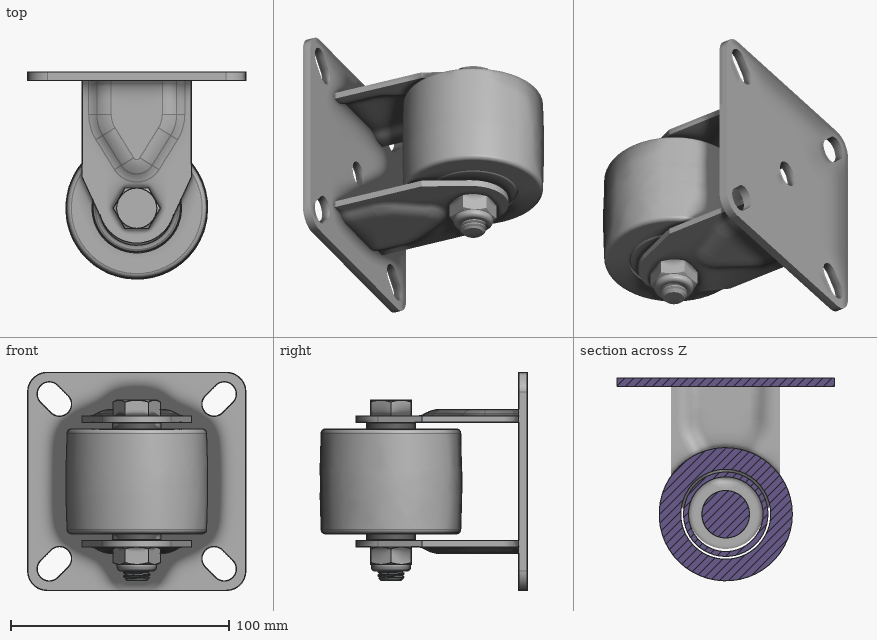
import cadquery as cq
import math


PLATE_SIZE = 100.0
PLATE_THICKNESS = 4.0
PLATE_CORNER_RADIUS = 9.0
PLATE_BACK_Y = 62.5
PLATE_FRONT_Y = PLATE_BACK_Y - PLATE_THICKNESS
PLATE_HOLE_DIAMETER = 12.0
SLOT_WIDTH = 11.0
SLOT_PITCH = 75.5
SLOT_TRAVEL = 6.6
SLOT_ANGLE = 45.0

LEG_INNER_Z = 27.0
LEG_THICKNESS = 3.0
LEG_OUTER_Z = LEG_INNER_Z + LEG_THICKNESS
LEG_HALF_WIDTH = 25.0
LEG_SHOULDER_Y = 14.2
LEG_TIP_RADIUS = 17.3
LEG_TIP_Y = -16.0

BULGE_HEIGHT = 3.0
BULGE_ROOT_RADIUS = 22.0
BULGE_ROOT_Y = 43.0
BULGE_NOSE_RADIUS = 12.0
BULGE_NOSE_Y = 24.0
BULGE_FOOT_WIDTH = 3.7
BULGE_CREST_WIDTH = 6.6
BULGE_WALL_WIDTH = BULGE_FOOT_WIDTH + BULGE_CREST_WIDTH

WHEEL_RADIUS = 32.5
WHEEL_EDGE_RADIUS = 32.0
WHEEL_HALF_WIDTH = 24.0
WHEEL_FILLET = 2.0
BEARING_RADIUS = 20.0
BEARING_FILLET = 1.0
BEARING_GAP = 0.5
BEARING_GAP_DEPTH = 1.5
SHIELD_RADIUS = 17.0
SHIELD_DEPTH = 0.2
SPACER_RADIUS = 11.2
SPACER_CHAMFER = 0.3

HEX_ACROSS_FLATS = 18.7
HEX_FACE_RADIUS = 9.2
HEX_BEVEL_ANGLE = 30.0
HEAD_TOP_Z = 37.3
NUT_BOTTOM_Z = -38.1
COLLAR_RADIUS = 9.0
COLLAR_HEIGHT = 3.0
COLLAR_FILLET = 1.9
BOLT_RADIUS = 6.0
BOLT_END_Z = -45.3
BOLT_END_CHAMFER = 1.4
THREAD_PITCH = 1.75
THREAD_DEPTH = 1.1
GROOVE_CUTTER_DEPTH = 1.3
GROOVE_CUTTER_WIDTH = 1.6


def cylinder(radius, z_low, z_high):
    return cq.Workplane("XY").workplane(offset=z_low).circle(radius).extrude(z_high - z_low)


def mounting_plate():
    plate = (
        cq.Workplane("XZ", origin=(0, PLATE_BACK_Y, 0))
        .rect(PLATE_SIZE, PLATE_SIZE)
        .extrude(PLATE_THICKNESS)
        .edges("|Y")
        .fillet(PLATE_CORNER_RADIUS)
        .faces("<Y")
        .workplane(origin=(0, PLATE_FRONT_Y, 0))
        .hole(PLATE_HOLE_DIAMETER)
    )
    for x_side in (-1, 1):
        for z_side in (-1, 1):
            slot = (
                cq.Workplane("XZ", origin=(0, PLATE_BACK_Y, 0))
                .center(x_side * SLOT_PITCH / 2, z_side * SLOT_PITCH / 2)
                .slot2D(SLOT_TRAVEL + SLOT_WIDTH, SLOT_WIDTH, SLOT_ANGLE * x_side * z_side)
                .extrude(PLATE_THICKNESS)
            )
            plate = plate.cut(slot)
    return plate


def leg_blank():
    """Flat upper leg: straight sides, tapering tangentially into a round tip."""
    centre_y = LEG_TIP_Y + LEG_TIP_RADIUS
    rise = LEG_SHOULDER_Y - centre_y
    reach = math.hypot(LEG_HALF_WIDTH, rise)
    tangent_angle = math.atan2(rise, LEG_HALF_WIDTH) - math.acos(LEG_TIP_RADIUS / reach)
    tangent_x = LEG_TIP_RADIUS * math.cos(tangent_angle)
    tangent_y = centre_y + LEG_TIP_RADIUS * math.sin(tangent_angle)
    return (
        cq.Workplane("XY", origin=(0, 0, LEG_INNER_Z))
        .moveTo(-LEG_HALF_WIDTH, PLATE_FRONT_Y)
        .lineTo(-LEG_HALF_WIDTH, LEG_SHOULDER_Y)
        .lineTo(-tangent_x, tangent_y)
        .threePointArc((0, LEG_TIP_Y), (tangent_x, tangent_y))
        .lineTo(LEG_HALF_WIDTH, LEG_SHOULDER_Y)
        .lineTo(LEG_HALF_WIDTH, PLATE_FRONT_Y)
        .close()
        .extrude(LEG_THICKNESS)
    )


def bulge_outline(inset, z):
    """Open outline of the bulge, moved inwards by inset, from one end at the plate to the other."""
    root_radius = BULGE_ROOT_RADIUS - inset
    nose_radius = BULGE_NOSE_RADIUS - inset
    flank = math.asin((BULGE_ROOT_RADIUS - BULGE_NOSE_RADIUS) / (BULGE_ROOT_Y - BULGE_NOSE_Y))

    def on_root(angle):
        return root_radius * math.cos(angle), BULGE_ROOT_Y - root_radius * math.sin(angle)

    root_mid_x, root_mid_y = on_root(flank / 2)
    root_end_x, root_end_y = on_root(flank)
    nose_x = nose_radius * math.cos(flank)
    nose_y = BULGE_NOSE_Y - nose_radius * math.sin(flank)
    return (
        cq.Workplane("XY", origin=(0, 0, z))
        .moveTo(-root_radius, PLATE_FRONT_Y)
        .lineTo(-root_radius, BULGE_ROOT_Y)
        .threePointArc((-root_mid_x, root_mid_y), (-root_end_x, root_end_y))
        .lineTo(-nose_x, nose_y)
        .threePointArc((0, BULGE_NOSE_Y - nose_radius), (nose_x, nose_y))
        .lineTo(root_end_x, root_end_y)
        .threePointArc((root_mid_x, root_mid_y), (root_radius, BULGE_ROOT_Y))
        .lineTo(root_radius, PLATE_FRONT_Y)
    )


def bulge_wall():
    """Sloping wall of the bulge: an S-shaped sheet section swept along the outline."""
    slope = 2 * math.atan(BULGE_HEIGHT / BULGE_WALL_WIDTH)
    foot_x = -BULGE_ROOT_RADIUS
    crest_x = foot_x + BULGE_WALL_WIDTH
    foot_centre_z = LEG_OUTER_Z + BULGE_FOOT_WIDTH / math.sin(slope)
    crest_top_z = LEG_OUTER_Z + BULGE_HEIGHT
    crest_centre_z = crest_top_z - BULGE_CREST_WIDTH / math.sin(slope)

    def on_foot(angle, depth):
        radius = foot_centre_z - LEG_OUTER_Z + depth
        return foot_x + radius * math.sin(angle), foot_centre_z - radius * math.cos(angle)

    def on_crest(angle, depth):
        radius = crest_top_z - crest_centre_z - depth
        return crest_x - radius * math.sin(angle), crest_centre_z + radius * math.cos(angle)

    section = (
        cq.Workplane("XZ", origin=(0, PLATE_FRONT_Y, 0))
        .moveTo(*on_foot(0, 0))
        .threePointArc(on_foot(slope / 2, 0), on_foot(slope, 0))
        .threePointArc(on_crest(slope / 2, 0), on_crest(0, 0))
        .lineTo(*on_crest(0, LEG_THICKNESS))
        .threePointArc(on_crest(slope / 2, LEG_THICKNESS), on_crest(slope, LEG_THICKNESS))
        .threePointArc(on_foot(slope / 2, LEG_THICKNESS), on_foot(0, LEG_THICKNESS))
        .close()
    )
    return section.sweep(bulge_outline(0, LEG_OUTER_Z))


def upper_leg():
    opening = bulge_outline(0, LEG_INNER_Z).close().extrude(LEG_THICKNESS)
    roof = bulge_outline(BULGE_WALL_WIDTH, LEG_INNER_Z + BULGE_HEIGHT).close().extrude(LEG_THICKNESS)
    return leg_blank().cut(opening).union(bulge_wall()).union(roof)


def wheel():
    """Solid of revolution: crowned tread with rounded rims and a bearing face on each side."""
    rim_z = WHEEL_HALF_WIDTH - WHEEL_FILLET
    tread = (
        cq.Workplane("XZ")
        .moveTo(0, -WHEEL_HALF_WIDTH)
        .lineTo(WHEEL_EDGE_RADIUS - WHEEL_FILLET, -WHEEL_HALF_WIDTH)
        .radiusArc((WHEEL_EDGE_RADIUS, -rim_z), -WHEEL_FILLET)
        .threePointArc((WHEEL_RADIUS, 0), (WHEEL_EDGE_RADIUS, rim_z))
        .radiusArc((WHEEL_EDGE_RADIUS - WHEEL_FILLET, WHEEL_HALF_WIDTH), -WHEEL_FILLET)
        .lineTo(0, WHEEL_HALF_WIDTH)
        .close()
        .revolve(360, (0, 0), (0, 1))
    )
    upper_details = bearing_recess()
    return tread.cut(upper_details).cut(upper_details.mirror("XY"))


def bearing_recess():
    """Material missing around the upper bearing: the gap beside it and the sunken shield."""
    gap_floor_z = WHEEL_HALF_WIDTH - BEARING_GAP_DEPTH
    gap = (
        cq.Workplane("XZ")
        .moveTo(BEARING_RADIUS - BEARING_FILLET, WHEEL_HALF_WIDTH)
        .radiusArc((BEARING_RADIUS, WHEEL_HALF_WIDTH - BEARING_FILLET), BEARING_FILLET)
        .lineTo(BEARING_RADIUS, gap_floor_z)
        .lineTo(BEARING_RADIUS + BEARING_GAP, gap_floor_z)
        .lineTo(BEARING_RADIUS + BEARING_GAP, WHEEL_HALF_WIDTH)
        .close()
        .revolve(360, (0, 0), (0, 1))
    )
    shield = cylinder(SHIELD_RADIUS, WHEEL_HALF_WIDTH - SHIELD_DEPTH, WHEEL_HALF_WIDTH)
    return gap.union(shield)


def upper_spacer():
    spacer = cylinder(SPACER_RADIUS, WHEEL_HALF_WIDTH - SHIELD_DEPTH, LEG_INNER_Z)
    return spacer.faces("<Z or >Z").edges().chamfer(SPACER_CHAMFER)


def hexagon(z_low, z_high, bevel_low, bevel_high):
    """Hexagonal prism with its corners bevelled by a cone at the chosen ends."""
    corner_radius = HEX_ACROSS_FLATS / 2 / math.cos(math.pi / 6)
    drop = (corner_radius - HEX_FACE_RADIUS) * math.tan(math.radians(HEX_BEVEL_ANGLE))
    prism = (
        cq.Workplane("XY", origin=(0, 0, z_low))
        .polygon(6, 2 * corner_radius)
        .extrude(z_high - z_low)
    )
    envelope = cylinder(corner_radius, z_low, z_high)
    bevel_width = corner_radius - HEX_FACE_RADIUS
    if bevel_low:
        envelope = envelope.faces("<Z").chamfer(drop, bevel_width)
    if bevel_high:
        envelope = envelope.faces(">Z").chamfer(drop, bevel_width)
    return prism.intersect(envelope)


def lock_nut():
    collar = cylinder(COLLAR_RADIUS, NUT_BOTTOM_Z - COLLAR_HEIGHT, NUT_BOTTOM_Z)
    collar = collar.faces("<Z").edges().fillet(COLLAR_FILLET)
    return hexagon(NUT_BOTTOM_Z, -LEG_OUTER_Z, True, True).union(collar)


def threaded_end():
    """Bolt end below the nut, with a V-shaped helical groove."""
    rod = cylinder(BOLT_RADIUS, BOLT_END_Z, NUT_BOTTOM_Z).faces("<Z").chamfer(BOLT_END_CHAMFER)
    start_z = BOLT_END_Z - THREAD_PITCH
    helix = cq.Wire.makeHelix(
        THREAD_PITCH, NUT_BOTTOM_Z - start_z - THREAD_PITCH, BOLT_RADIUS, cq.Vector(0, 0, start_z)
    )
    root_x = BOLT_RADIUS - THREAD_DEPTH
    groove = (
        cq.Workplane("XZ")
        .moveTo(root_x, start_z)
        .lineTo(root_x + GROOVE_CUTTER_DEPTH, start_z + GROOVE_CUTTER_WIDTH / 2)
        .lineTo(root_x + GROOVE_CUTTER_DEPTH, start_z - GROOVE_CUTTER_WIDTH / 2)
        .close()
        .sweep(cq.Workplane(helix), isFrenet=True)
    )
    return rod.cut(groove)


result = mounting_plate().union(wheel())
for upper_part in (upper_leg(), upper_spacer()):
    result = result.union(upper_part).union(upper_part.mirror("XY"))
result = result.union(hexagon(LEG_OUTER_Z, HEAD_TOP_Z, False, True))
result = result.union(lock_nut())
result = result.union(threaded_end())